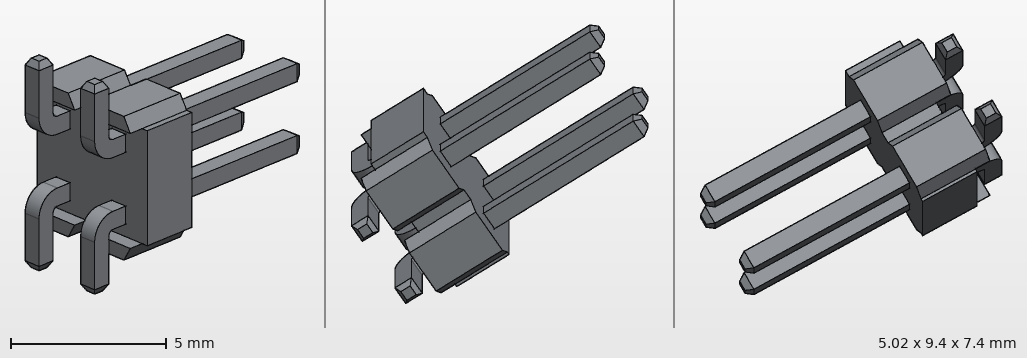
import cadquery as cq
import math


pitch = 2.54
column_places = (-pitch / 2, pitch / 2)
sides = (-1, 1)
row_height = pitch / 2

pin_size = 0.64
pin_half = pin_size / 2
pin_rear_reach = 5.99
pin_length = 9.4
pin_front_reach = pin_length - pin_rear_reach
overall_height = 7.4
pin_top = overall_height / 2
bend_inner_radius = 0.19
bend_outer_radius = bend_inner_radius + pin_size
tip_length = 0.24
tip_taper = 30

housing_width = 5.02
housing_left_margin = 1.175
housing_depth = 2.01
housing_height = 4.06
housing_center_x = housing_width / 2 - housing_left_margin - pitch / 2

ledge_depth = 2.55
ledge_thickness = 0.51
ledge_outer_width = 1.56
ledge_side_slope = 30
ledge_base_width = ledge_outer_width + 2 * ledge_thickness * math.tan(math.radians(ledge_side_slope))


def make_ledge(x, side):
    """Trapezoidal ledge centred on a pin column, on the top (side 1) or the bottom (side -1)."""
    base_z = side * housing_height / 2
    outer_z = base_z + side * ledge_thickness
    return (
        cq.Workplane("XZ")
        .polyline([
            (x - ledge_base_width / 2, base_z),
            (x + ledge_base_width / 2, base_z),
            (x + ledge_outer_width / 2, outer_z),
            (x - ledge_outer_width / 2, outer_z),
        ])
        .close()
        .extrude(ledge_depth)
    )


def make_housing():
    """Block with four ledges and a square through hole for each pin."""
    block = (
        cq.Workplane("XZ")
        .center(housing_center_x, 0)
        .rect(housing_width, housing_height)
        .extrude(housing_depth)
    )
    for x in column_places:
        for side in sides:
            block = block.union(make_ledge(x, side))
    holes = (
        cq.Workplane("XZ")
        .rect(pitch, pitch, forConstruction=True)
        .vertices()
        .rect(pin_size, pin_size)
        .extrude(housing_depth)
    )
    return block.cut(holes).solids()


def add_tip(bar, end_face):
    """Extend one end of a pin with a tapered tip."""
    return (
        bar.faces(end_face)
        .workplane(centerOption="CenterOfMass")
        .rect(pin_size, pin_size)
        .extrude(tip_length, taper=tip_taper)
    )


def make_pin(x, row_sign):
    """Square pin along Y whose front leg bends up (row_sign 1) or down (row_sign -1)."""
    rear_y = pin_rear_reach - tip_length
    leg_front_y = -pin_front_reach
    leg_back_y = leg_front_y + pin_size
    bend_y = leg_front_y + bend_outer_radius
    low_z = row_height - pin_half
    high_z = row_height + pin_half
    bend_z = low_z + bend_outer_radius
    leg_end_z = pin_top - tip_length
    bar = (
        cq.Workplane("YZ")
        .moveTo(rear_y, low_z)
        .lineTo(bend_y, low_z)
        .tangentArcPoint((leg_front_y, bend_z), relative=False)
        .lineTo(leg_front_y, leg_end_z)
        .lineTo(leg_back_y, leg_end_z)
        .lineTo(leg_back_y, bend_z)
        .tangentArcPoint((bend_y, high_z), relative=False)
        .lineTo(rear_y, high_z)
        .close()
        .extrude(pin_half, both=True)
    )
    pin = add_tip(add_tip(bar, ">Y"), ">Z")
    if row_sign < 0:
        pin = pin.mirror("XY")
    return pin.translate((x, 0, 0)).solids()


housing = make_housing()
pins = [make_pin(x, row_sign) for x in column_places for row_sign in sides]

result = cq.Compound.makeCompound([housing.val(), *[pin.val() for pin in pins]])